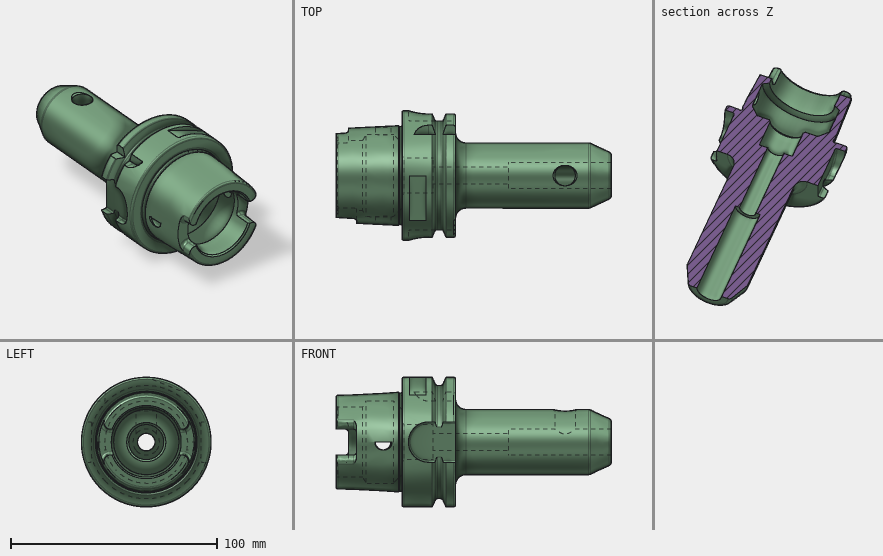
import cadquery as cq
import math


SHANK_LENGTH = 32.0
FLANGE_WIDTH = 26.0
NOSE_END = 101.6

TAPER_DIAMETER = 48.24
TAPER_GAUGE_X = -4.1
TAPER_RATIO = 9.98
SHANK_EDGE_RADIUS = 1.0

UNDERCUT_START = -1.8
UNDERCUT_FLAT_START = -1.3
UNDERCUT_RADIUS = 23.9
UNDERCUT_FACE_DEPTH = 0.3
UNDERCUT_CORNER_RADIUS = 0.8
UNDERCUT_OUTER_RADIUS = 25.7

FLANGE_RADIUS = 63.0 / 2
FLANGE_EDGE_RADIUS = 1.0
GROOVE_CENTRE = 18.0
GROOVE_BOTTOM_RADIUS = 55.0 / 2
GROOVE_BOTTOM_WIDTH = 3.0
GROOVE_TOP_WIDTH = 6.7
GROOVE_EDGE_RADIUS = 0.5
GROOVE_BOTTOM_FILLET_RADIUS = 1.0

BODY_RADIUS = 31.75 / 2
NECK_FILLET_RADIUS = 5.0
NOSE_START = 91.0
NOSE_ANGLE = 25.0
NOSE_FILLET_RADIUS = 2.0

MOUTH_RADIUS = 17.75
SHANK_BORE_RADIUS = 34.0 / 2
MOUTH_CHAMFER = MOUTH_RADIUS - SHANK_BORE_RADIUS
CLAMP_CAVITY_RADIUS = 40.0 / 2
CLAMP_CONE_START = -19.1
CLAMP_CONE_ANGLE = 60.0
CAVITY_FLOOR_X = 0.0
CAVITY_FLOOR_RADIUS = 15.8
TUBE_CHAMFER_RADIUS = 19.0 / 2
TUBE_BORE_RADIUS = 17.0 / 2
TUBE_BORE_DEPTH = 15.0
COOLANT_RADIUS = 8.4 / 2
TOOL_BORE_RADIUS = 12.7 / 2
TOOL_BORE_DEPTH = 50.0

NOTCH_HALF_WIDTH = 6.25
NOTCH_DEPTH_FRONT = 10.0
NOTCH_DEPTH_BACK = 6.0
NOTCH_CORNER_RADIUS = 3.0
NOTCH_FLOOR_RADIUS = 1.5

ACCESS_X = -9.2
ACCESS_RADIUS = 7.5 / 2
ACCESS_MOUTH_RADIUS = 8.4 / 2

SLOT_HALF_WIDTH = 9.8
SLOT_END_X = 3.1
SLOT_FLOOR = 26.5
SLOT_FLOOR_RADIUS = 0.8

ORIENT_FLOOR = 19.9
ORIENT_CUTTER_RADIUS = 7.7
ORIENT_CUTTER_X = 12.9

LABEL_START = 3.6
LABEL_END = 11.75
LABEL_TILT = 22.0
LABEL_HEIGHT = 29.27

SCREW_X = NOSE_END - 22.5
SCREW_RADIUS = 10.0 / 2

CLEAR = 5.0
SELECT_MARGIN = 0.1

ARC_MIDDLE = 1 - math.sqrt(0.5)

SEAM_ANGLE = 70.0


def taper_radius(x):
    """Shank radius at X = x; the diameter shrinks by 1 in TAPER_RATIO towards the end."""
    return TAPER_DIAMETER / 2 - (TAPER_GAUGE_X - x) / TAPER_RATIO / 2


def revolve_about_x(profile):
    """Close a profile drawn in the XY plane and turn it about the tool axis."""
    return profile.close().revolve(360, (0, 0, 0), (1, 0, 0))


def circles_near(x):
    """Selector of the edges that lie in the plane at X = x."""
    reach = 2 * FLANGE_RADIUS
    return cq.selectors.BoxSelector(
        (x - SELECT_MARGIN, -reach, -reach), (x + SELECT_MARGIN, reach, reach), boundingbox=True
    )


def make_shank():
    blank_end = -SHANK_LENGTH - CLEAR
    corner = UNDERCUT_CORNER_RADIUS
    corner_middle = corner * ARC_MIDDLE
    shank = revolve_about_x(
        cq.Workplane("XY")
        .moveTo(blank_end, 0)
        .lineTo(blank_end, taper_radius(blank_end))
        .lineTo(UNDERCUT_START, taper_radius(UNDERCUT_START))
        .lineTo(UNDERCUT_FLAT_START, UNDERCUT_RADIUS)
        .lineTo(UNDERCUT_FACE_DEPTH - corner, UNDERCUT_RADIUS)
        .threePointArc(
            (UNDERCUT_FACE_DEPTH - corner_middle, UNDERCUT_RADIUS + corner_middle),
            (UNDERCUT_FACE_DEPTH, UNDERCUT_RADIUS + corner),
        )
        .lineTo(FLANGE_WIDTH / 2, UNDERCUT_RADIUS + corner)
        .lineTo(FLANGE_WIDTH / 2, 0)
    )
    for side, depth in ((-1, NOTCH_DEPTH_FRONT), (1, NOTCH_DEPTH_BACK)):
        shank = cut_notch(shank, side, depth)
    return shank.cut(make_shank_end_cutter())


def cut_notch(shank, side, depth):
    """Cut one drive notch, then round its outer corners and its floor edges."""
    floor_x = depth - SHANK_LENGTH
    length = depth + CLEAR
    reach = side * FLANGE_RADIUS
    inner = side * SHANK_BORE_RADIUS / 2
    notch = cq.Workplane("XY").box(length, abs(reach - inner), 2 * NOTCH_HALF_WIDTH)
    shank = shank.cut(notch.translate((floor_x - length / 2, (reach + inner) / 2, 0)))
    for wall in (-NOTCH_HALF_WIDTH, NOTCH_HALF_WIDTH):
        outer_edge = edges_within(-SHANK_LENGTH - 2 * CLEAR, floor_x, SHANK_BORE_RADIUS * side, reach, wall)
        shank = shank.edges(outer_edge).edges("not |Y").fillet(NOTCH_CORNER_RADIUS)
    for wall in (-NOTCH_HALF_WIDTH, NOTCH_HALF_WIDTH):
        floor_edge = edges_within(floor_x, floor_x, 0, reach, wall)
        shank = shank.edges(floor_edge).fillet(NOTCH_FLOOR_RADIUS)
    return shank


def edges_within(x_low, x_high, y_first, y_second, z):
    """Selector of the edges that lie in the plane at height z between the given X and Y."""
    m = SELECT_MARGIN
    low = (x_low - m, min(y_first, y_second), z - m)
    high = (x_high + m, max(y_first, y_second), z + m)
    return cq.selectors.BoxSelector(low, high, boundingbox=True)


def make_shank_end_cutter():
    """Everything to cut beyond the rounded end of the shank."""
    r = SHANK_EDGE_RADIUS
    taper_angle = math.atan(1 / (2 * TAPER_RATIO))
    centre_x = -SHANK_LENGTH + r
    centre_y = taper_radius(centre_x) - r / math.cos(taper_angle)

    def on_arc(angle):
        return centre_x - r * math.cos(angle), centre_y + r * math.sin(angle)

    touch_angle = math.pi / 2 - taper_angle
    touch = on_arc(touch_angle)
    outside = taper_radius(0) + CLEAR
    beyond = -SHANK_LENGTH - 2 * CLEAR
    return revolve_about_x(
        cq.Workplane("XY")
        .moveTo(-SHANK_LENGTH, 0)
        .lineTo(-SHANK_LENGTH, centre_y)
        .threePointArc(on_arc(touch_angle / 2), touch)
        .lineTo(touch[0], outside)
        .lineTo(beyond, outside)
        .lineTo(beyond, 0)
    )


def make_flange():
    half_bottom = GROOVE_BOTTOM_WIDTH / 2
    half_top = GROOVE_TOP_WIDTH / 2
    blank = cq.Workplane("YZ").circle(FLANGE_RADIUS).extrude(FLANGE_WIDTH)
    blank = blank.faces("<X or >X").edges().fillet(FLANGE_EDGE_RADIUS)
    groove = revolve_about_x(
        cq.Workplane("XY")
        .moveTo(GROOVE_CENTRE - half_bottom, GROOVE_BOTTOM_RADIUS)
        .lineTo(GROOVE_CENTRE - half_top, FLANGE_RADIUS)
        .lineTo(GROOVE_CENTRE - half_top, FLANGE_RADIUS + CLEAR)
        .lineTo(GROOVE_CENTRE + half_top, FLANGE_RADIUS + CLEAR)
        .lineTo(GROOVE_CENTRE + half_top, FLANGE_RADIUS)
        .lineTo(GROOVE_CENTRE + half_bottom, GROOVE_BOTTOM_RADIUS)
    )
    flange = blank.cut(groove)
    for offset, radius in ((half_top, GROOVE_EDGE_RADIUS), (half_bottom, GROOVE_BOTTOM_FILLET_RADIUS)):
        for x in (GROOVE_CENTRE - offset, GROOVE_CENTRE + offset):
            flange = flange.edges(circles_near(x)).fillet(radius)
    undercut = revolve_about_x(
        cq.Workplane("XY")
        .moveTo(-CLEAR, UNDERCUT_RADIUS)
        .lineTo(UNDERCUT_FACE_DEPTH, UNDERCUT_RADIUS)
        .lineTo(UNDERCUT_FACE_DEPTH, UNDERCUT_RADIUS + UNDERCUT_CORNER_RADIUS)
        .lineTo(0, UNDERCUT_OUTER_RADIUS)
        .lineTo(-CLEAR, UNDERCUT_OUTER_RADIUS)
    )
    flange = flange.cut(undercut)
    flange = flange.rotate((0, 0, 0), (1, 0, 0), SEAM_ANGLE)
    for side in (-1, 1):
        flange = flange.cut(make_drive_slot(side))
    return flange.cut(make_orientation_notch()).cut(make_label_flat())


def make_drive_slot(side):
    """Round-ended slot on the +Y or -Y side of the flange, open towards the nose."""
    centre_x = SLOT_END_X + SLOT_HALF_WIDTH
    slot = (
        cq.Workplane("XZ", origin=(0, side * SLOT_FLOOR, 0))
        .moveTo(FLANGE_WIDTH + CLEAR, SLOT_HALF_WIDTH)
        .lineTo(centre_x, SLOT_HALF_WIDTH)
        .threePointArc((SLOT_END_X, 0), (centre_x, -SLOT_HALF_WIDTH))
        .lineTo(FLANGE_WIDTH + CLEAR, -SLOT_HALF_WIDTH)
        .close()
        .extrude(-side * (FLANGE_RADIUS - SLOT_FLOOR + CLEAR))
    )
    floor = "<Y" if side > 0 else ">Y"
    return slot.faces(floor).edges("not >X").fillet(SLOT_FLOOR_RADIUS)


def make_orientation_notch():
    """Square-cornered notch at 45 degrees between +Y and +Z, with a round run-out."""
    centre_z = ORIENT_FLOOR + ORIENT_CUTTER_RADIUS
    depth = FLANGE_RADIUS - ORIENT_FLOOR + CLEAR
    run_out = (
        cq.Workplane("XZ", origin=(ORIENT_CUTTER_X, ORIENT_FLOOR, centre_z))
        .circle(ORIENT_CUTTER_RADIUS)
        .extrude(-depth)
    )
    straight = cq.Workplane("XY").box(FLANGE_WIDTH, depth, depth, centered=False)
    return run_out.union(straight.translate((ORIENT_CUTTER_X, ORIENT_FLOOR, ORIENT_FLOOR)))


def make_label_flat():
    """Flat cut across the flange rim, tilted from +Z towards -Y."""
    cutter = (
        cq.Workplane("XY")
        .box(LABEL_END - LABEL_START, 2 * FLANGE_RADIUS, FLANGE_RADIUS, centered=(False, True, False))
        .translate((LABEL_START, 0, LABEL_HEIGHT))
    )
    return cutter.rotate((0, 0, 0), (1, 0, 0), LABEL_TILT)


def make_body():
    r = NECK_FILLET_RADIUS
    arc_middle = r * ARC_MIDDLE
    nose_radius = BODY_RADIUS - (NOSE_END - NOSE_START) * math.tan(math.radians(NOSE_ANGLE))
    body = revolve_about_x(
        cq.Workplane("XY")
        .moveTo(FLANGE_WIDTH / 2, 0)
        .lineTo(FLANGE_WIDTH / 2, BODY_RADIUS + r)
        .lineTo(FLANGE_WIDTH, BODY_RADIUS + r)
        .threePointArc(
            (FLANGE_WIDTH + arc_middle, BODY_RADIUS + arc_middle),
            (FLANGE_WIDTH + r, BODY_RADIUS),
        )
        .lineTo(NOSE_START, BODY_RADIUS)
        .lineTo(NOSE_END, nose_radius)
        .lineTo(NOSE_END, 0)
    )
    for x in (NOSE_START, NOSE_END):
        body = body.edges(circles_near(x)).fillet(NOSE_FILLET_RADIUS)
    return body


def make_bores():
    cone_run = (CLAMP_CAVITY_RADIUS - SHANK_BORE_RADIUS) / math.tan(math.radians(CLAMP_CONE_ANGLE))
    floor_chamfer = CLAMP_CAVITY_RADIUS - CAVITY_FLOOR_RADIUS
    tube_chamfer = TUBE_CHAMFER_RADIUS - TUBE_BORE_RADIUS
    tube_end = CAVITY_FLOOR_X + TUBE_BORE_DEPTH
    tool_start = NOSE_END - TOOL_BORE_DEPTH
    return revolve_about_x(
        cq.Workplane("XY")
        .moveTo(-SHANK_LENGTH, 0)
        .lineTo(-SHANK_LENGTH, MOUTH_RADIUS)
        .lineTo(-SHANK_LENGTH + MOUTH_CHAMFER, SHANK_BORE_RADIUS)
        .lineTo(CLAMP_CONE_START, SHANK_BORE_RADIUS)
        .lineTo(CLAMP_CONE_START + cone_run, CLAMP_CAVITY_RADIUS)
        .lineTo(CAVITY_FLOOR_X - floor_chamfer, CLAMP_CAVITY_RADIUS)
        .lineTo(CAVITY_FLOOR_X, CAVITY_FLOOR_RADIUS)
        .lineTo(CAVITY_FLOOR_X, TUBE_CHAMFER_RADIUS)
        .lineTo(CAVITY_FLOOR_X + tube_chamfer, TUBE_BORE_RADIUS)
        .lineTo(tube_end, TUBE_BORE_RADIUS)
        .lineTo(tube_end, COOLANT_RADIUS)
        .lineTo(tool_start, COOLANT_RADIUS)
        .lineTo(tool_start, TOOL_BORE_RADIUS)
        .lineTo(NOSE_END, TOOL_BORE_RADIUS)
        .lineTo(NOSE_END, 0)
    )


def make_access_hole():
    """Lower half of a cross hole with a 45 degree countersink at both mouths."""
    surface = taper_radius(ACCESS_X)
    sink = ACCESS_MOUTH_RADIUS - ACCESS_RADIUS
    return (
        cq.Workplane("XY", origin=(ACCESS_X, 0, 0))
        .moveTo(0, -surface - CLEAR)
        .lineTo(ACCESS_MOUTH_RADIUS + CLEAR, -surface - CLEAR)
        .lineTo(ACCESS_RADIUS, -surface + sink)
        .lineTo(ACCESS_RADIUS, surface - sink)
        .lineTo(ACCESS_MOUTH_RADIUS + CLEAR, surface + CLEAR)
        .lineTo(0, surface + CLEAR)
        .close()
        .revolve(180, (0, 0, 0), (0, 1, 0))
    )


def make_screw_hole():
    """Screw hole whose 45 degree countersink just dies out at the sides of the round body."""
    sink_z = math.sqrt(BODY_RADIUS**2 - SCREW_RADIUS**2)
    return (
        cq.Workplane("XZ", origin=(SCREW_X, 0, 0))
        .lineTo(SCREW_RADIUS, 0)
        .lineTo(SCREW_RADIUS, sink_z)
        .lineTo(SCREW_RADIUS + CLEAR, sink_z + CLEAR)
        .lineTo(0, sink_z + CLEAR)
        .close()
        .revolve(360, (0, 0, 0), (0, 1, 0))
    )


holder = make_shank().union(make_flange()).union(make_body())
result = holder.cut(make_bores()).cut(make_access_hole()).cut(make_screw_hole())